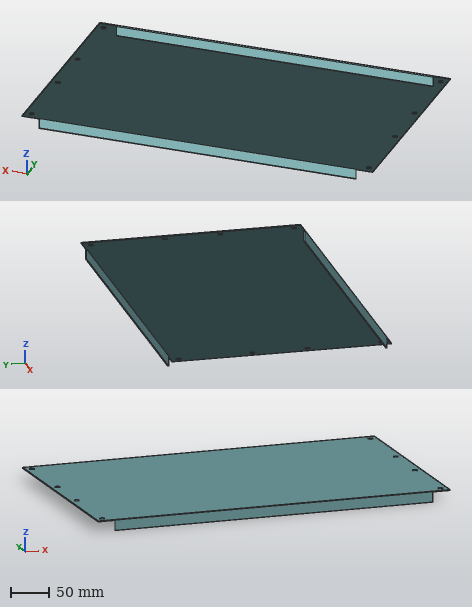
import cadquery as cq

length = 490.0
width = 297.0
height = 15.0
sheet_thickness = 1.5

flange_setback = 23.5
flange_length = length - 2 * flange_setback

hole_diameter = 6.5
hole_end_distance = 9.5
hole_x = length / 2 - hole_end_distance
outer_hole_spacing = 275.0
inner_hole_spacing = 75.0


def make_plate():
    """Flat plate with its top face at Z = 0."""
    return (
        cq.Workplane("XY")
        .box(length, width, sheet_thickness, centered=(True, True, False))
        .translate((0, 0, -sheet_thickness))
    )


def make_flange(side):
    """Downward flange, flush with the long edge on the given side (+1 or -1 in Y)."""
    flange_y = side * (width - sheet_thickness) / 2
    return (
        cq.Workplane("XY")
        .box(flange_length, sheet_thickness, height, centered=(True, True, False))
        .translate((0, flange_y, -height))
    )


def make_hole_cutters():
    """Cylinders for the mounting holes, passing through the plate."""
    hole_points = [
        (x, side * spacing / 2)
        for x in (-hole_x, hole_x)
        for spacing in (outer_hole_spacing, inner_hole_spacing)
        for side in (-1, 1)
    ]
    return cq.Workplane("XY").pushPoints(hole_points).circle(hole_diameter / 2).extrude(-height)


result = make_plate()
for side in (-1, 1):
    result = result.union(make_flange(side))
result = result.cut(make_hole_cutters())